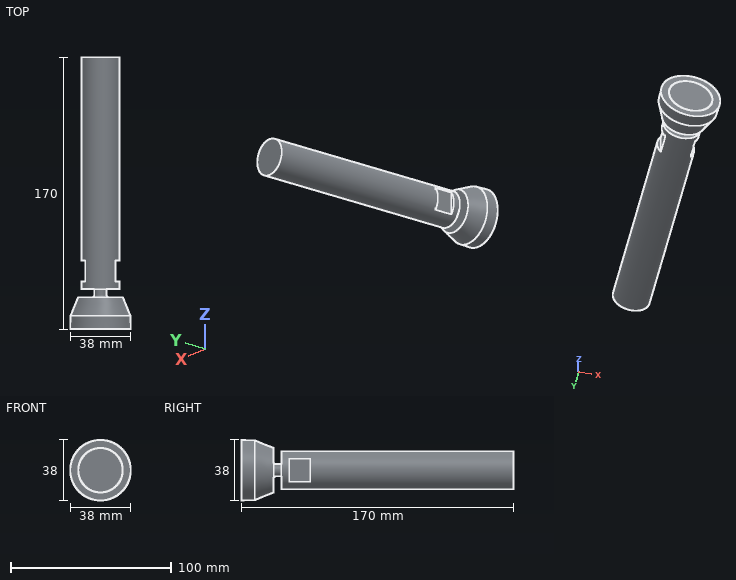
import cadquery as cq
import math

TOTAL_LENGTH = 170.0

ROD_DIAMETER = 24.0
ROD_START = 25.0
NECK_DIAMETER = 7.8
DISC_DIAMETER = 27.5
DISC_THICKNESS = 8.0
FLARE_RADIUS = 1.2
FLARE_DIAMETER = NECK_DIAMETER + 2 * FLARE_RADIUS

FLATS_START = 30.0
FLATS_LENGTH = 13.0
WIDTH_ACROSS_FLATS = 19.0

FOOT_DIAMETER = 38.0
RIM_TOP_DIAMETER = 37.5
RECESS_DIAMETER = 28.0
FOOT_TOP_DIAMETER = 28.0
FOOT_HEIGHT = 20.0
RIM_HEIGHT = 8.3


def revolve_about_y(outline):
    """Revolve a closed (radius, Y) outline around the Y axis."""
    return outline.revolve(360, (0, 0, 0), (0, 1, 0))


def cut_wrench_flats(body):
    """Cut one flat on each X side, leaving the width across flats."""
    cutter_depth = (ROD_DIAMETER - WIDTH_ACROSS_FLATS) / 2
    flats_middle = FLATS_START + FLATS_LENGTH / 2
    for side in (-1, 1):
        cutter_x = side * (WIDTH_ACROSS_FLATS + cutter_depth) / 2
        cutter = cq.Workplane("XY").box(cutter_depth, FLATS_LENGTH, ROD_DIAMETER)
        body = body.cut(cutter.translate((cutter_x, flats_middle, 0)))
    return body


def make_rod():
    """Rod with a neck that widens at the foot and ends in a disc flush with the sole."""
    flare_end = FOOT_HEIGHT + FLARE_RADIUS
    arc_offset = FLARE_RADIUS * (1 - math.sqrt(0.5))
    flare_middle = (NECK_DIAMETER / 2 + arc_offset, FOOT_HEIGHT + arc_offset)
    outline = (
        cq.Workplane("XY")
        .lineTo(DISC_DIAMETER / 2, 0)
        .lineTo(DISC_DIAMETER / 2, DISC_THICKNESS)
        .lineTo(FLARE_DIAMETER / 2, DISC_THICKNESS)
        .lineTo(FLARE_DIAMETER / 2, FOOT_HEIGHT)
        .threePointArc(flare_middle, (NECK_DIAMETER / 2, flare_end))
        .lineTo(NECK_DIAMETER / 2, ROD_START)
        .lineTo(ROD_DIAMETER / 2, ROD_START)
        .lineTo(ROD_DIAMETER / 2, TOTAL_LENGTH)
        .lineTo(0, TOTAL_LENGTH)
        .close()
    )
    rod = revolve_about_y(outline)
    return cut_wrench_flats(rod)


def make_foot():
    """Foot with a slightly drafted rim and a tapered top; its recess clears the disc's side."""
    outline = cq.Workplane("XY").polyline([
        (RECESS_DIAMETER / 2, 0),
        (FOOT_DIAMETER / 2, 0),
        (RIM_TOP_DIAMETER / 2, RIM_HEIGHT),
        (FOOT_TOP_DIAMETER / 2, FOOT_HEIGHT),
        (FLARE_DIAMETER / 2, FOOT_HEIGHT),
        (FLARE_DIAMETER / 2, DISC_THICKNESS),
        (RECESS_DIAMETER / 2, DISC_THICKNESS),
    ]).close()
    return revolve_about_y(outline)


rod = make_rod()
foot = make_foot()

result = cq.Compound.makeCompound([rod.val(), foot.val()])